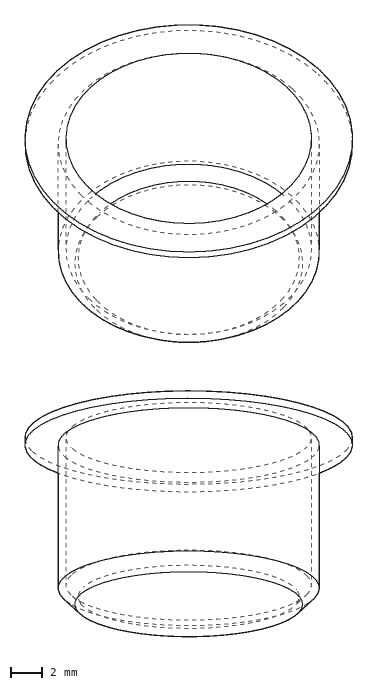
import cadquery as cq

flange_diameter = 20.7
body_diameter = 16.5
wall = 0.5
height = 11.0
outer_chamfer = 1.05
inner_chamfer = 0.77

flange_radius = flange_diameter / 2
body_radius = body_diameter / 2
bore_radius = body_radius - wall
flange_underside = height - wall

half_section = (
    cq.Workplane("XZ")
    .moveTo(0, 0)
    .lineTo(body_radius - outer_chamfer, 0)
    .lineTo(body_radius, outer_chamfer)
    .lineTo(body_radius, flange_underside)
    .lineTo(flange_radius, flange_underside)
    .lineTo(flange_radius, height)
    .lineTo(bore_radius, height)
    .lineTo(bore_radius, wall + inner_chamfer)
    .lineTo(bore_radius - inner_chamfer, wall)
    .lineTo(0, wall)
    .close()
)

result = half_section.revolve(360, (0, 0, 0), (0, 1, 0))